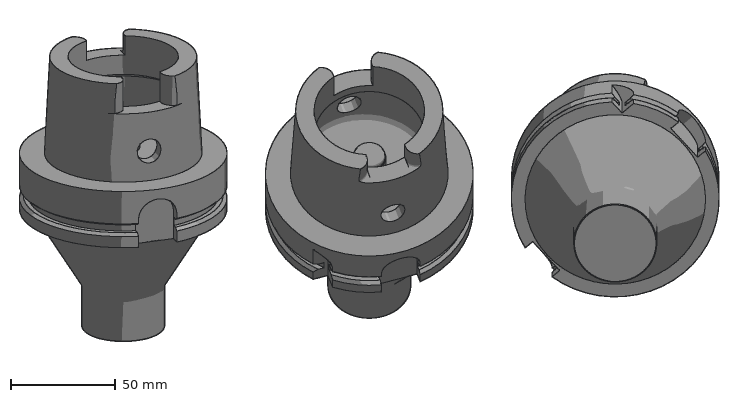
import cadquery as cq
import math

height = 139.9
flange_top_z = 90.0
flange_bottom_z = 60.9

neck_radius = 20.0
neck_chamfer = 0.4
cone_top_radius = 43.4
cone_half_angle = math.radians(31.2)
neck_blend_radius = 6.0

flange_radius = 50.0
groove_radius = 45.7
groove_bottom_z = 67.9
groove_top_z = 71.9
groove_lip_chamfer = 1.3
groove_lip_slope = 1.5

shank_top_radius = 35.4
shank_base_radius = 37.9
bore_radius = 26.51
bore_depth = 20.0
cavity_radius = 31.55
cavity_flare_angle = math.radians(30)
cavity_floor_z = 92.8
cavity_floor_radius = 24.9

button_base_radius = 8.0
button_radius = 7.5
button_step_z = 102.4
button_top_z = 105.3
button_fillet = 1.5

cross_hole_diameter = 12.0
cross_hole_z = 104.9

slot_half_width = 9.8
slot_corner_radius = 6.0
slot_shoulder_x = 32.2
slot_inner_x = 16.8
slot_outer_x = 42.0
slot_flank_y = 25.2
left_slot_depth = 10.1
right_slot_depth = 15.2
right_relief_angle = math.radians(22.5)
foot_radius = 1.7

keyway_floor_x = 44.0
keyway_half_width = 9.8
keyway_arc_center_z = 75.1
notch_center_y = 41.0
notch_floor_x = 31.6


def revolved_body():
    cone_corner_z = flange_bottom_z - (cone_top_radius - neck_radius) / math.tan(cone_half_angle)
    tangent_length = neck_blend_radius * math.tan(cone_half_angle / 2)
    blend_end_radius = neck_radius + tangent_length * math.sin(cone_half_angle)
    blend_end_z = cone_corner_z + tangent_length * math.cos(cone_half_angle)
    lip_radius = flange_radius - groove_lip_chamfer * groove_lip_slope
    outline = (
        cq.Workplane("XZ")
        .lineTo(neck_radius - neck_chamfer, 0)
        .lineTo(neck_radius, neck_chamfer)
        .lineTo(neck_radius, cone_corner_z - tangent_length)
        .tangentArcPoint((blend_end_radius, blend_end_z), relative=False)
        .lineTo(cone_top_radius, flange_bottom_z)
        .lineTo(flange_radius, flange_bottom_z)
        .lineTo(flange_radius, groove_bottom_z - groove_lip_chamfer)
        .lineTo(lip_radius, groove_bottom_z)
        .lineTo(groove_radius, groove_bottom_z)
        .lineTo(groove_radius, groove_top_z)
        .lineTo(lip_radius, groove_top_z)
        .lineTo(flange_radius, groove_top_z + groove_lip_chamfer)
        .lineTo(flange_radius, flange_top_z)
        .lineTo(shank_base_radius, flange_top_z)
        .lineTo(shank_top_radius, height)
        .lineTo(0, height)
        .close()
    )
    return outline.revolve(360, (0, 0, 0), (0, 1, 0))


def shank_cavity():
    """Bore, flared undercut and rounded floor around the central button."""
    floor_fillet = cavity_radius - cavity_floor_radius
    bore_end_z = height - bore_depth
    flare_end_z = bore_end_z - (cavity_radius - bore_radius) * math.tan(cavity_flare_angle)
    fillet_diagonal = floor_fillet * math.sqrt(0.5)
    fillet_center_z = cavity_floor_z + floor_fillet
    outline = (
        cq.Workplane("XZ")
        .moveTo(0, cavity_floor_z)
        .lineTo(cavity_floor_radius, cavity_floor_z)
        .threePointArc(
            (cavity_floor_radius + fillet_diagonal, fillet_center_z - fillet_diagonal),
            (cavity_radius, fillet_center_z),
        )
        .lineTo(cavity_radius, flare_end_z)
        .lineTo(bore_radius, bore_end_z)
        .lineTo(bore_radius, height)
        .lineTo(0, height)
        .close()
    )
    return outline.revolve(360, (0, 0, 0), (0, 1, 0))


def floor_button():
    base = cq.Workplane("XY", origin=(0, 0, cavity_floor_z)).circle(button_base_radius)
    base = base.extrude(button_step_z - cavity_floor_z)
    head = cq.Workplane("XY", origin=(0, 0, button_step_z)).circle(button_radius)
    head = head.extrude(button_top_z - button_step_z)
    head = head.faces(">Z").edges().fillet(button_fillet)
    return base.union(head)


def slot_half(side, floor_z, relief_angle):
    """Half of a rim slot on +Y: side is the sign of X."""
    corner_x = slot_shoulder_x - slot_corner_radius
    corner_y = slot_half_width + slot_corner_radius
    diagonal = slot_corner_radius * math.sqrt(0.5)
    flank_x = slot_shoulder_x - (slot_flank_y - corner_y) * math.tan(relief_angle)
    outline = (
        cq.Workplane("XY", origin=(0, 0, floor_z))
        .moveTo(side * slot_inner_x, 0)
        .lineTo(side * slot_inner_x, slot_half_width)
        .lineTo(side * corner_x, slot_half_width)
        .threePointArc(
            (side * (corner_x + diagonal), corner_y - diagonal),
            (side * slot_shoulder_x, corner_y),
        )
        .lineTo(side * flank_x, slot_flank_y)
        .lineTo(side * slot_outer_x, slot_flank_y)
        .lineTo(side * slot_outer_x, 0)
        .close()
    )
    return outline.extrude(height - floor_z)


def left_slot_half():
    """Slot half on -X, leaving a concave foot around the rounded corner at the floor."""
    floor_z = height - left_slot_depth
    corner_x = slot_corner_radius - slot_shoulder_x
    corner_y = slot_half_width + slot_corner_radius
    foot_radius_out = slot_corner_radius + foot_radius
    diagonal = foot_radius * math.sqrt(0.5)
    foot = (
        cq.Workplane("XZ", origin=(corner_x, corner_y, floor_z))
        .lineTo(foot_radius_out, 0)
        .threePointArc(
            (foot_radius_out - diagonal, foot_radius - diagonal),
            (slot_corner_radius, foot_radius),
        )
        .lineTo(0, foot_radius)
        .close()
        .revolve(360, (0, 0, 0), (0, 1, 0))
    )
    channel = cq.Workplane("XY", origin=(0, 0, floor_z))
    channel = channel.rect(2 * slot_outer_x, 2 * slot_half_width).extrude(foot_radius)
    return slot_half(-1, floor_z, 0).cut(foot.cut(channel))


def keyway(floor_x, center_y, side):
    """Round-ended cutter running from the flange bottom outward along X."""
    straight_height = keyway_arc_center_z - flange_bottom_z
    length = flange_radius - floor_x
    outline = (
        cq.Workplane("YZ", origin=(side * floor_x, center_y, flange_bottom_z))
        .moveTo(-keyway_half_width, 0)
        .lineTo(-keyway_half_width, straight_height)
        .threePointArc(
            (0, straight_height + keyway_half_width),
            (keyway_half_width, straight_height),
        )
        .lineTo(keyway_half_width, 0)
        .close()
    )
    return outline.extrude(side * length)


result = revolved_body().cut(shank_cavity()).union(floor_button())

cross_hole = cq.Workplane("YZ", origin=(-flange_radius, 0, cross_hole_z))
cross_hole = cross_hole.circle(cross_hole_diameter / 2).extrude(2 * flange_radius)
result = result.cut(cross_hole.cut(floor_button()))

right_half = slot_half(1, height - right_slot_depth, right_relief_angle)
for half in (left_slot_half(), right_half):
    result = result.cut(half).cut(half.mirror("XZ"))

for side in (-1, 1):
    result = result.cut(keyway(keyway_floor_x, 0, side))
result = result.cut(keyway(notch_floor_x, notch_center_y, -1))